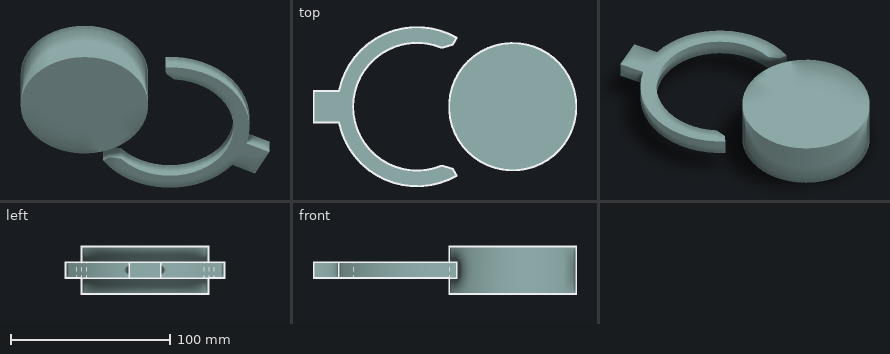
import cadquery as cq
import math

disc_diameter = 80.0
disc_height = 30.0
disc_center_x = 60.0

ring_inner_radius = disc_diameter / 2
ring_outer_radius = 50.0
clip_thickness = 10.0
mouth_half_angle = 60.0
lead_in_size = 5.0
lead_in_round = 2.0

tab_width = 20.0
tab_end_x = disc_center_x + disc_diameter / 2 - 165.0


def ring_point(radius, angle):
    """Point on the ring at an angle in degrees, counterclockwise from +X."""
    return radius * math.cos(math.radians(angle)), radius * math.sin(math.radians(angle))


def mirrored(point):
    """The same point on the other side of the XZ plane."""
    return point[0], -point[1]


def make_clip():
    """Open ring with chamfered mouth ends and a rectangular tab."""
    lead_in_angle = math.degrees(lead_in_size / ring_inner_radius)
    tip = ring_point(ring_outer_radius, mouth_half_angle)
    lead_in_outer = ring_point(ring_inner_radius + lead_in_size, mouth_half_angle)
    lead_in_inner = ring_point(ring_inner_radius, mouth_half_angle + lead_in_angle)

    ring = (
        cq.Workplane("XY", origin=(0, 0, -clip_thickness / 2))
        .moveTo(*tip)
        .threePointArc((-ring_outer_radius, 0), mirrored(tip))
        .lineTo(*mirrored(lead_in_outer))
        .lineTo(*mirrored(lead_in_inner))
        .threePointArc((-ring_inner_radius, 0), lead_in_inner)
        .lineTo(*lead_in_outer)
        .close()
        .extrude(clip_thickness)
    )

    for corner in (lead_in_inner, lead_in_outer):
        for point in (corner, mirrored(corner)):
            edge = cq.selectors.NearestToPointSelector((*point, 0))
            ring = ring.edges("|Z").edges(edge).fillet(lead_in_round)

    tab_root_x = -(ring_inner_radius + ring_outer_radius) / 2
    tab = cq.Workplane("XY").center((tab_end_x + tab_root_x) / 2, 0).box(
        tab_root_x - tab_end_x, tab_width, clip_thickness
    )
    return ring.union(tab)


def make_disc():
    """Plain cylinder beside the mouth, centred on the clip's mid-plane."""
    return (
        cq.Workplane("XY", origin=(disc_center_x, 0, -disc_height / 2))
        .circle(disc_diameter / 2)
        .extrude(disc_height)
    )


clip = make_clip()
disc = make_disc()

result = cq.Compound.makeCompound([clip.val(), disc.val()])